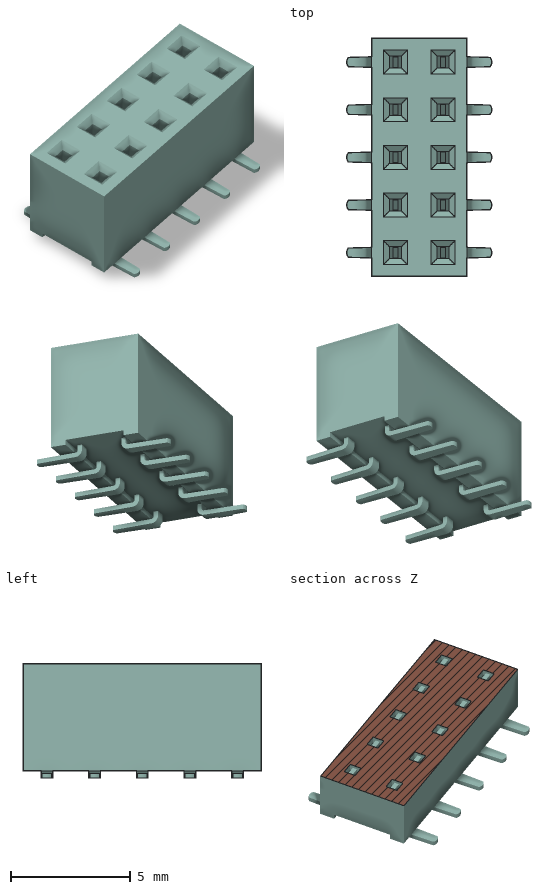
import cadquery as cq

BODY_WIDTH = 4.0
BODY_LENGTH = 10.0
BODY_TOP = 4.8
BODY_BOTTOM = 0.3
CHANNEL_WIDTH = 2.66
CHANNEL_TOP = 0.52

PITCH = 2.0
ROWS = 5
COLUMN_X = PITCH / 2
ROW_POSITIONS = [(row - (ROWS - 1) / 2) * PITCH for row in range(ROWS)]

SOCKET_MOUTH = 1.0
SOCKET_HOLE = 0.5
FUNNEL_DEPTH = 0.25
SOCKET_DEPTH = 3.0

LEAD_THICKNESS = 0.2
LEAD_WIDTH = 0.5
BEND_INNER_RADIUS = 0.1
BEND_OUTER_RADIUS = BEND_INNER_RADIUS + LEAD_THICKNESS
LEAD_REACH = 6.1 / 2
TIP_WIDTH = 0.4
TIP_BULGE = 0.08
POST_WIDTH = 0.44
POST_HEIGHT = 0.5

SOCKET_FLOOR = BODY_TOP - SOCKET_DEPTH
POST_INNER_X = COLUMN_X - LEAD_THICKNESS / 2
POST_OUTER_X = COLUMN_X + LEAD_THICKNESS / 2
BEND_END_X = POST_INNER_X + BEND_OUTER_RADIUS


def make_housing():
    """Block with a channel along the full length of its underside."""
    block = cq.Workplane("XY", origin=(0, 0, BODY_BOTTOM)).rect(BODY_WIDTH, BODY_LENGTH)
    block = block.extrude(BODY_TOP - BODY_BOTTOM)
    channel = cq.Workplane("XY", origin=(0, 0, BODY_BOTTOM)).rect(CHANNEL_WIDTH, BODY_LENGTH)
    return block.cut(channel.extrude(CHANNEL_TOP - BODY_BOTTOM))


def make_socket():
    """Cavity of one socket, centred on its column and on Y = 0."""
    mouth = cq.Workplane("XY", origin=(COLUMN_X, 0, BODY_TOP))
    funnel = (
        mouth.rect(SOCKET_MOUTH, SOCKET_MOUTH)
        .workplane(offset=-FUNNEL_DEPTH)
        .rect(SOCKET_HOLE, SOCKET_HOLE)
        .loft(combine=True)
    )
    hole = mouth.rect(SOCKET_HOLE, SOCKET_HOLE).extrude(-SOCKET_DEPTH)
    return funnel.union(hole)


def make_lead():
    """One contact on the +X column, centred on Y = 0."""
    side_profile = (
        cq.Workplane("XZ")
        .moveTo(LEAD_REACH, 0)
        .lineTo(BEND_END_X, 0)
        .radiusArc((POST_INNER_X, BEND_OUTER_RADIUS), BEND_OUTER_RADIUS)
        .lineTo(POST_INNER_X, SOCKET_FLOOR)
        .lineTo(POST_OUTER_X, SOCKET_FLOOR)
        .lineTo(POST_OUTER_X, BEND_OUTER_RADIUS)
        .radiusArc((BEND_END_X, LEAD_THICKNESS), -BEND_INNER_RADIUS)
        .lineTo(LEAD_REACH, LEAD_THICKNESS)
        .close()
        .extrude(LEAD_WIDTH / 2, both=True)
    )
    shoulder_x = LEAD_REACH - TIP_BULGE
    plan_outline = (
        cq.Workplane("XY")
        .moveTo(POST_INNER_X, -LEAD_WIDTH / 2)
        .lineTo(BEND_END_X, -LEAD_WIDTH / 2)
        .lineTo(shoulder_x, -TIP_WIDTH / 2)
        .threePointArc((LEAD_REACH, 0), (shoulder_x, TIP_WIDTH / 2))
        .lineTo(BEND_END_X, LEAD_WIDTH / 2)
        .lineTo(POST_INNER_X, LEAD_WIDTH / 2)
        .close()
        .extrude(SOCKET_FLOOR)
    )
    post = cq.Workplane("XY", origin=(COLUMN_X, 0, SOCKET_FLOOR)).rect(LEAD_THICKNESS, POST_WIDTH)
    return side_profile.intersect(plan_outline).union(post.extrude(POST_HEIGHT))


def on_grid(feature):
    """Copies of a +X column feature at every position of both columns."""
    copies = []
    for y in ROW_POSITIONS:
        placed = feature.translate((0, y, 0))
        copies.append(placed)
        copies.append(placed.mirror("YZ"))
    return copies


result = make_housing()
for socket in on_grid(make_socket()):
    result = result.cut(socket)
for lead in on_grid(make_lead()):
    result = result.union(lead)